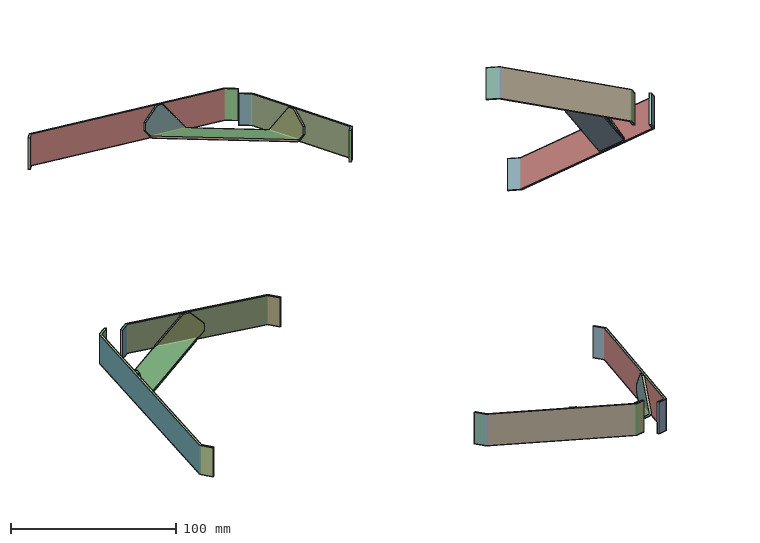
import cadquery as cq
import math

height = 20.0
thickness = 1.5
inner_radius = 0.5
outer_radius = inner_radius + thickness

long_rail_length = 166.5
short_rail_start = 14.0
short_rail_end = 120.0
flange_reach = 6.2

strip_width = 20.0
brace_start = 37.0
tab_end = 70.8
tab_tip_top = 10.7
edge_span = strip_width * math.sqrt(2)
bend_y = -thickness - outer_radius
bend_shift = (inner_radius + thickness / 2) * math.pi / 2
tab_start = brace_start + bend_shift

corner_diagonal = (1, 1, 0)


def make_rail(start, end):
    """Rail along X with its outer face at Y = 0 and its flanges folded toward -Y."""
    left = start + flange_reach
    right = end - flange_reach
    tip_offset = thickness / math.sqrt(2)
    miter = thickness * math.tan(math.pi / 8)
    outline = [
        (left, 0),
        (right, 0),
        (end, -flange_reach),
        (end - tip_offset, -flange_reach - tip_offset),
        (right - miter, -thickness),
        (left + miter, -thickness),
        (start + tip_offset, -flange_reach - tip_offset),
        (start, -flange_reach),
    ]
    rail = cq.Workplane("XY").polyline(outline).close().extrude(height)
    for radius, corners in (
        (outer_radius, [(left, 0), (right, 0)]),
        (inner_radius, [(left + miter, -thickness), (right - miter, -thickness)]),
    ):
        for x, y in corners:
            nearest = cq.selectors.NearestToPointSelector((x, y, height / 2))
            rail = rail.edges("|Z").edges(nearest).fillet(radius)
    return rail


def bend_edge(radius, start):
    """Quarter helix along one edge of the bend."""
    def point(turn):
        angle = turn * math.pi / 2
        x = start + turn * bend_shift
        y = bend_y + radius * math.sin(angle)
        z = outer_radius - radius * math.cos(angle)
        return (x, y, z)

    return cq.Workplane("XY").parametricCurve(point, N=20, makeWire=False).val()


def make_bend():
    """Quarter bend whose two ends follow the diagonal edges of the strip."""
    edges = [
        bend_edge(outer_radius, brace_start),
        bend_edge(outer_radius, brace_start + edge_span),
        bend_edge(inner_radius, brace_start + edge_span),
        bend_edge(inner_radius, brace_start),
    ]
    faces = [cq.Face.makeRuledSurface(edges[i - 1], edges[i]) for i in range(len(edges))]
    for ends in ([e.startPoint() for e in edges], [e.endPoint() for e in edges]):
        faces.append(cq.Face.makeFromWires(cq.Wire.makePolygon(ends, close=True)))
    bend = cq.Solid.makeSolid(cq.Shell.makeShell(faces))
    return cq.Workplane(bend.fix())


def make_tab():
    """Upright tab lying against the back rail."""
    tab_right = tab_start + edge_span
    outline = [
        (tab_start, outer_radius),
        (tab_right, outer_radius),
        (tab_end, outer_radius + tab_end - tab_right),
        (tab_end, tab_tip_top),
        (tab_end - (height - tab_tip_top), height),
        (tab_start + height - outer_radius, height),
    ]
    back = cq.Workplane("XZ", origin=(0, -thickness, 0))
    return back.polyline(outline).close().extrude(thickness)


def make_plate():
    """Flat diagonal strip between the two bends."""
    brace_end = brace_start + edge_span
    outline = [
        (brace_start, bend_y),
        (brace_end, bend_y),
        (-bend_y, -brace_end),
        (-bend_y, -brace_start),
    ]
    return cq.Workplane("XY").polyline(outline).close().extrude(thickness)


def make_brace():
    bent_end = make_bend().union(make_tab())
    return make_plate().union(bent_end).union(bent_end.mirror(corner_diagonal))


short_rail = make_rail(short_rail_start, short_rail_end)
long_rail = make_rail(0, long_rail_length).mirror(corner_diagonal)
brace = make_brace()

result = cq.Compound.makeCompound([short_rail.val(), long_rail.val(), brace.val()])